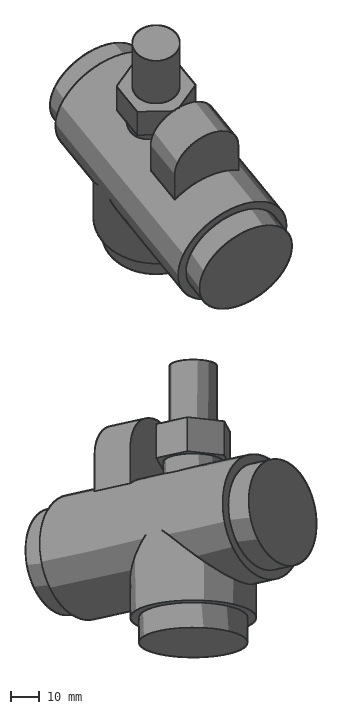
import cadquery as cq

overall_length = 100.0
overall_height = 100.5
body_diameter = 44.5
body_radius = body_diameter / 2
collar_length = 9.0
collar_radius = 19.0
body_length = overall_length - 2 * collar_length

branch_x = -9.9
branch_radius = 22.0
stem_top = 60.4
stem_radius = 8.3
branch_bottom = stem_top - overall_height

neck_radius = 10.5
nut_bottom = 25.5
nut_top = 37.9
nut_corner_diameter = 27.6

lug_start = 7.7
lug_thickness = 16.1
lug_radius = 13.1
lug_arc_height = 31.4


def run_cylinder(radius, length):
    """Cylinder along X, centred on the origin."""
    return cq.Workplane("YZ").circle(radius).extrude(length / 2, both=True)


def vertical_cylinder(radius, z_from, z_to):
    """Cylinder on the branch axis between two heights."""
    return (
        cq.Workplane("XY", origin=(branch_x, 0, z_from))
        .circle(radius)
        .extrude(z_to - z_from)
    )


def hex_nut():
    """Hexagonal nut with two opposite corners along X."""
    return (
        cq.Workplane("XY", origin=(branch_x, 0, nut_bottom))
        .polygon(6, nut_corner_diameter)
        .extrude(nut_top - nut_bottom)
    )


def lug():
    """Upright lug with a semicircular top, rooted inside the main run."""
    return (
        cq.Workplane("YZ", origin=(lug_start, 0, 0))
        .moveTo(-lug_radius, 0)
        .lineTo(lug_radius, 0)
        .lineTo(lug_radius, lug_arc_height)
        .threePointArc((0, lug_arc_height + lug_radius), (-lug_radius, lug_arc_height))
        .close()
        .extrude(lug_thickness)
    )


result = (
    run_cylinder(body_radius, body_length)
    .union(run_cylinder(collar_radius, overall_length))
    .union(vertical_cylinder(branch_radius, branch_bottom + collar_length, 0))
    .union(vertical_cylinder(collar_radius, branch_bottom, 0))
    .union(vertical_cylinder(neck_radius, 0, nut_bottom))
    .union(hex_nut())
    .union(vertical_cylinder(stem_radius, 0, stem_top))
    .union(lug())
)